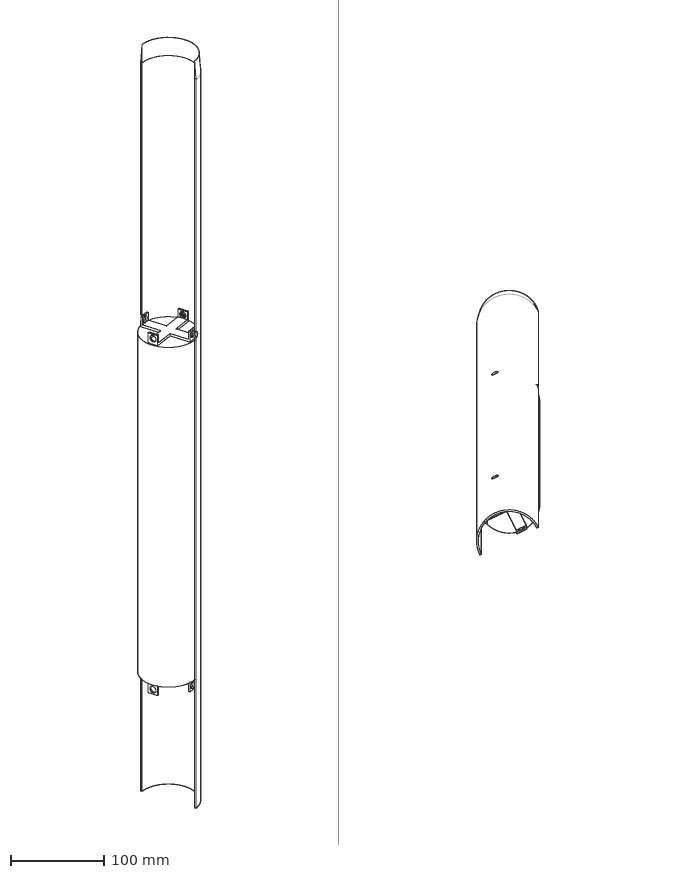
import cadquery as cq

shell_height = 923.32
shell_outer_radius = 35.0
wall = 2.0
shell_inner_radius = shell_outer_radius - wall

plug_height = 22.5
plug_start = shell_height - plug_height
plug_taper = 1.7
plug_tip_radius = shell_outer_radius - plug_taper
bore_step = 0.1
plug_bore_radius = shell_inner_radius + bore_step

canister_radius = shell_inner_radius
canister_bottom = 158.0
canister_length = 420.0
canister_top = canister_bottom + canister_length
cross_width = 12.0
cross_height = 3.0
lug_height = 12.5
lug_thickness = 2.0
lug_outer_reach = 31.0
lug_inner_reach = lug_outer_reach - lug_thickness

hole_diameter = 7.66
hole_offset = 7.0
upper_hole_z = canister_top + hole_offset
lower_hole_z = canister_bottom - hole_offset


def cross_rod(plane, height):
    """Rod along the normal of a vertical plane, long enough to cross the whole part."""
    return (
        cq.Workplane(plane)
        .center(0, height)
        .circle(hole_diameter / 2)
        .extrude(2 * shell_outer_radius, both=True)
    )


def make_shell():
    """Half tube with a tapered plug end, drilled at the back and notched at its upper edges."""
    profile = [
        (shell_inner_radius, 0),
        (shell_outer_radius, 0),
        (shell_outer_radius, plug_start),
        (plug_tip_radius, shell_height),
        (plug_bore_radius, shell_height),
        (plug_bore_radius, plug_start),
        (shell_inner_radius, plug_start),
    ]
    half_tube = cq.Workplane("XZ").polyline(profile).close().revolve(180, (0, 0), (0, 1))
    for height in (lower_hole_z, upper_hole_z):
        half_tube = half_tube.cut(cross_rod("XZ", height))
    return half_tube.cut(cross_rod("YZ", upper_hole_z))


def make_end_fitting():
    """Low cross with a drilled lug at the end of each arm, standing on Z = 0."""
    cross_length = 2 * lug_outer_reach
    bar = cq.Workplane("XY").box(cross_length, cross_width, cross_height, centered=(True, True, False))
    fitting = bar.union(bar.rotate((0, 0, 0), (0, 0, 1), 90))
    lug = (
        cq.Workplane("XY")
        .box(lug_thickness, cross_width, lug_height, centered=(False, True, False))
        .translate((lug_inner_reach, 0, 0))
    )
    for angle in (0, 90, 180, 270):
        fitting = fitting.union(lug.rotate((0, 0, 0), (0, 0, 1), angle))
    for plane in ("XZ", "YZ"):
        fitting = fitting.cut(cross_rod(plane, hole_offset))
    return fitting


def make_canister():
    """Cylinder with the same fitting on both ends."""
    cylinder = cq.Workplane("XY").circle(canister_radius).extrude(canister_length)
    fitting = make_end_fitting()
    upper_fitting = fitting.translate((0, 0, canister_length))
    lower_fitting = fitting.mirror("XY")
    canister = cylinder.union(upper_fitting).union(lower_fitting)
    return canister.translate((0, 0, canister_bottom))


shell = make_shell()
canister = make_canister()

result = cq.Compound.makeCompound([shell.solids().val(), canister.solids().val()])